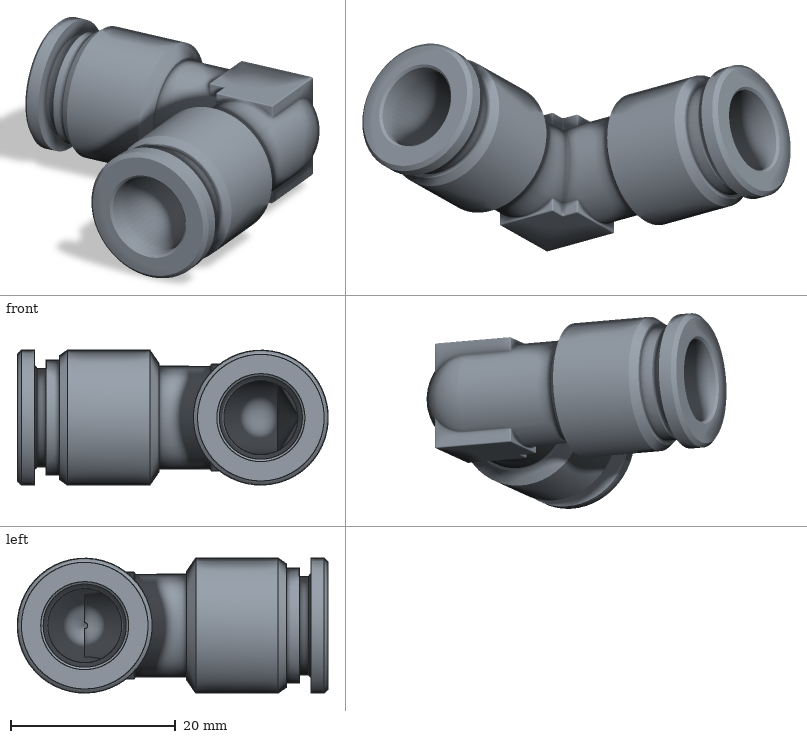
import cadquery as cq
import math

outer_size = 37.8
body_radius = 8.2
leg_length = outer_size - body_radius

collar_thickness = 2.1
collar_chamfer = 0.5
neck_radius = 6.0
neck_chamfer = 0.3
neck_length = 1.4
collar_inner_end = leg_length - collar_thickness

ring_radius = 7.0
ring_length = 1.6
ring_outer_end = collar_inner_end - neck_length

body_outer_end = ring_outer_end - ring_length
body_inner_end = 12.4
mouth_chamfer_length = 1.0
mouth_chamfer_depth = 0.7
shoulder_chamfer_length = 1.1
shoulder_chamfer_depth = 1.6

tube_radius = 6.25

socket_radius = 5.05
socket_chamfer = 0.3
socket_depth = 18.0
taper_length = 0.3
bore_radius = 4.5
drill_overrun = 2.0
drill_tip_angle = 118.0
socket_end = leg_length - socket_depth
taper_end = socket_end - taper_length
drill_tip_length = bore_radius / math.tan(math.radians(drill_tip_angle / 2))

pad_near_edge = 4.0
pad_far_edge = 6.05
pad_notch_edge = 3.9
pad_height = 6.5
pad_fillet = 0.15
pad_root_min_height = 2.0

crotch_fillet = 0.3

selection_margin = 0.05


def x_leg_solid(half_profile):
    """Revolve (x, radius) points around the X axis."""
    return cq.Workplane("XY").polyline(half_profile).close().revolve(360, (0, 0, 0), (1, 0, 0))


def to_y_leg(x_leg):
    """Turn a leg that runs along -X so that it runs along -Y."""
    return x_leg.rotate((0, 0, 0), (0, 0, 1), 90)


def leg():
    """Outside of one leg, running along -X."""
    return x_leg_solid([
        (0, 0),
        (0, tube_radius),
        (-body_inner_end, tube_radius),
        (-body_inner_end, body_radius - shoulder_chamfer_depth),
        (-body_inner_end - shoulder_chamfer_length, body_radius),
        (-body_outer_end + mouth_chamfer_length, body_radius),
        (-body_outer_end, body_radius - mouth_chamfer_depth),
        (-body_outer_end, ring_radius),
        (-ring_outer_end, ring_radius),
        (-ring_outer_end, neck_radius),
        (-collar_inner_end + neck_chamfer, neck_radius),
        (-collar_inner_end, neck_radius + neck_chamfer),
        (-collar_inner_end, body_radius),
        (-leg_length + collar_chamfer, body_radius),
        (-leg_length, body_radius - collar_chamfer),
        (-leg_length, 0),
    ])


def socket():
    """Stepped cutter for the tube socket and bore of one leg, ending flat at the elbow centre."""
    return x_leg_solid([
        (0, 0),
        (0, bore_radius),
        (-taper_end, bore_radius),
        (-socket_end, socket_radius),
        (-leg_length + socket_chamfer, socket_radius),
        (-leg_length, socket_radius + socket_chamfer),
        (-leg_length, 0),
    ])


def drill_tip():
    """Conical end of the X bore, beyond the elbow centre."""
    return x_leg_solid([
        (0, 0),
        (0, bore_radius),
        (drill_overrun, bore_radius),
        (drill_overrun + drill_tip_length, 0),
    ])


def tube_elbow():
    """Both legs joined by a spherical corner, with the inner crotch rounded."""
    corner = cq.Workplane("XY").sphere(tube_radius)
    joined = leg().union(to_y_leg(leg())).union(corner)
    reach = tube_radius + selection_margin
    crotch = cq.selectors.BoxSelector(
        (-reach, -reach, -reach),
        (selection_margin, selection_margin, reach),
        boundingbox=True,
    )
    return joined.edges(crotch).fillet(crotch_fillet)


def label_pads():
    """Notched block that stands out as a rounded pad above and below the elbow."""
    outline = [
        (-pad_far_edge, pad_near_edge),
        (pad_near_edge, pad_near_edge),
        (pad_near_edge, -pad_far_edge),
        (-pad_notch_edge, -pad_far_edge),
        (-pad_notch_edge, -pad_notch_edge),
        (-pad_far_edge, -pad_notch_edge),
    ]
    block = cq.Workplane("XY").polyline(outline).close().extrude(pad_height, both=True)
    block = block.edges("|Z").fillet(pad_fillet)
    return block.faces("<Z or >Z").edges().fillet(pad_fillet)


def blend_pad_roots(part):
    """Fillet the edges where both label pads meet the tubes."""
    low_corner = -pad_far_edge - selection_margin
    high_corner = pad_near_edge + selection_margin
    low_z = pad_root_min_height
    high_z = tube_radius + selection_margin
    upper = cq.selectors.BoxSelector(
        (low_corner, low_corner, low_z), (high_corner, high_corner, high_z), boundingbox=True
    )
    lower = cq.selectors.BoxSelector(
        (low_corner, low_corner, -high_z), (high_corner, high_corner, -low_z), boundingbox=True
    )
    return part.edges(upper + lower).fillet(pad_fillet)


outside = blend_pad_roots(tube_elbow().union(label_pads()))
result = outside.cut(socket()).cut(to_y_leg(socket())).cut(drill_tip())